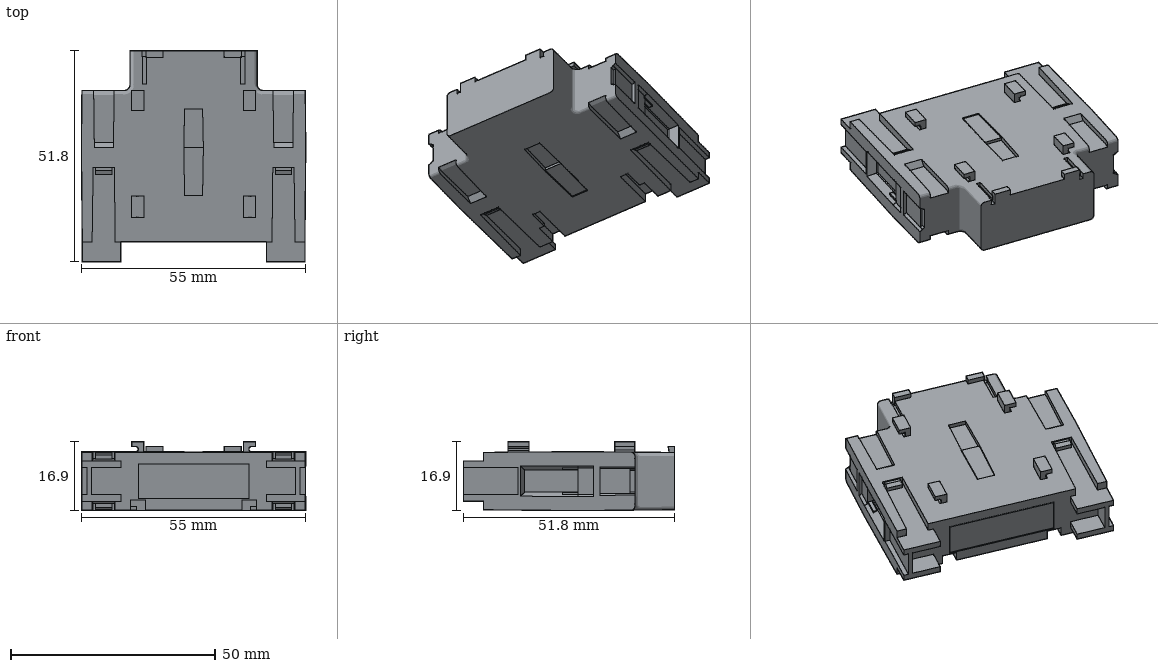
import cadquery as cq
import math

WIDTH = 55.0
HEIGHT = 14.5
FRONT_Y = -23.1
SHOULDER_Y = 14.0
REAR_Y = 23.75
NECK_HALF_WIDTH = 15.6
NECK_CORNER_RADIUS = 1.4
NECK_EDGE_RADIUS = 1.05
DRAFT_DEG = 0.5
DRAFT_SLOPE = math.tan(math.radians(DRAFT_DEG))
HALF_WIDTH = WIDTH / 2
HALF_HEIGHT = HEIGHT / 2
CLEAR = 2.0
RIM_MARGIN = 1.0

ARM_TIP_Y = -28.0
ARM_INNER_X = 17.8
ARM_OUTER_X = HALF_WIDTH + DRAFT_SLOPE * FRONT_Y
ARM_GAP_HALF_HEIGHT = 3.3
ARM_HALF_HEIGHT = 4.95
WEB_INNER_X = 25.0
WEB_OUTER_X = 26.1

HOOK_TIP_X = 15.2
HOOK_POST_OUTER_X = 13.6
HOOK_POST_INNER_X = 12.2
HOOK_RISE = 2.4
HOOK_HEAD_THICKNESS = 1.2
HOOK_HEAD_BOTTOM_Z = HALF_HEIGHT + HOOK_RISE - HOOK_HEAD_THICKNESS
HOOK_CORNER_BEVEL = 0.4
HOOK_FOOT_BEVEL = 0.4
HOOK_FRONT_SPAN = (-17.1, -11.9)
HOOK_REAR_SPAN = (9.05, 14.0)
STOP_SPAN_X = (7.45, 11.7)
STOP_LENGTH = 1.65
STOP_TOP_Z = 8.5
STOP_UNDERCUT = 0.25

GROOVE_SPAN_X = (11.55, 12.55)
GROOVE_START_Y = 15.6
GROOVE_FLOOR_Z = 6.0
NOTCH_SPAN_X = (11.3, 12.65)
NOTCH_LENGTH = 1.4
NOTCH_FLOOR_Z = 5.7

POCKET_REAR_Y = -4.9
POCKET_REAR_FLOOR_Z = 5.5
POCKET_REAR_SPAN_X = (19.4, 24.6)
POCKET_FRONT_SPAN_X = (19.2, 24.85)
CATCH_SPAN_X = (20.0, 24.0)
CATCH_TOP_Z = 6.9
CATCH_NOSE_Z = 6.42
CATCH_TOP_LENGTH = 0.7
CATCH_LENGTH = 1.75

PAD_PARTING_SPAN_X = (19.65, 24.3)
PAD_REAR_SPAN_X = (19.4, 24.5)
PAD_FLOOR_Z = 5.85
PAD_RAMP_LENGTH = 1.25
PAD_LEAD_IN_LENGTH = 1.25
PAD_LEAD_IN_DROP = 0.3

SLOT_REAR_Y = 9.5
SLOT_FRONT_Y = -11.75
SLOT_END_HALF_WIDTH = 2.2
SLOT_PARTING_HALF_WIDTH = 2.4
SLOT_REAR_FLOOR_Z = 6.1
SLOT_FRONT_FLOOR_Z = 6.85

LABEL_WIDTH = 27.1
LABEL_HEIGHT = 8.5
LABEL_DEPTH = 0.3

ENTRY_SPAN_X = (11.8, 15.4)
ENTRY_CEILING_Z = -4.6
LIP_INNER_X = 13.95
LIP_TOP_Z = -6.2

REAR_RECESS_HALF_HEIGHT = 3.5
FRONT_RECESS_HALF_HEIGHT = 3.75
REAR_RECESS_FRONT_Y = 5.5
REAR_RECESS_FLOOR_X = 26.65
REAR_RECESS_FLOOR_HALF_HEIGHT = 3.05
REAR_STEP_Y = 12.8
REAR_STEP_FLOOR_X = 26.1
REAR_STEP_HALF_HEIGHT = 2.65
SHALLOW_RECESS_REAR_Y = 3.9
SHALLOW_RECESS_FLOOR_X = 26.75
SHALLOW_FLOOR_HALF_HEIGHT = 3.25
DEEP_RECESS_FRONT_Y = -14.1
DEEP_RECESS_FLOOR_FRONT_Y = -13.0
DEEP_RECESS_TAPER_END_X = 25.35
DEEP_RECESS_FLOOR_X = 24.9
DEEP_FLOOR_HALF_HEIGHT = 2.7
LEDGE_FRONT_Y = -3.75
LEDGE_OUTER_X = 26.5
LEDGE_HALF_GAP = 2.8
ARM_RECESS_REAR_Y = -14.6


def block(span_x, span_y, span_z):
    """Axis-aligned box between the given limits."""
    size = [max(span) - min(span) for span in (span_x, span_y, span_z)]
    corner = [min(span) for span in (span_x, span_y, span_z)]
    return cq.Workplane("XY").box(*size, centered=False).translate(tuple(corner))


def left_and_right(feature):
    return feature.union(feature.mirror("YZ"))


def top_and_bottom(feature):
    return feature.union(feature.mirror("XY"))


def shaped_prism(plan, profile):
    """Solid having the given X-Y plan and Y-Z side profile."""
    upright = cq.Workplane("XY").polyline(plan).close().extrude(HEIGHT)
    sideways = cq.Workplane("YZ").polyline(profile).close().extrude(WIDTH, both=True)
    return upright.intersect(sideways)


def tapered_recess(mouth_y, mouth_half_height, floor_y, floor_half_height, floor_x):
    """Side recess narrowing from the outer side down to its floor."""
    mouth_size = (mouth_y[1] - mouth_y[0], 2 * mouth_half_height)
    floor_size = (floor_y[1] - floor_y[0], 2 * floor_half_height)
    shift = (sum(mouth_y) - sum(floor_y)) / 2
    return (
        cq.Workplane("YZ", origin=(floor_x, sum(floor_y) / 2, 0))
        .rect(*floor_size)
        .workplane(offset=HALF_WIDTH - floor_x)
        .center(shift, 0)
        .rect(*mouth_size)
        .loft(ruled=True)
    )


def make_housing():
    front = cq.Workplane("XZ").rect(WIDTH, HEIGHT).extrude(-FRONT_Y, taper=DRAFT_DEG)
    rear = cq.Workplane("ZX").rect(HEIGHT, WIDTH).extrude(REAR_Y, taper=DRAFT_DEG)
    neck = block((-NECK_HALF_WIDTH, NECK_HALF_WIDTH), (0, REAR_Y), (-HEIGHT, HEIGHT))
    shoulders = block((-WIDTH, WIDTH), (0, SHOULDER_Y), (-HEIGHT, HEIGHT))
    inside_corners = cq.selectors.BoxSelector(
        (-NECK_HALF_WIDTH - RIM_MARGIN, SHOULDER_Y - RIM_MARGIN, -RIM_MARGIN),
        (NECK_HALF_WIDTH + RIM_MARGIN, SHOULDER_Y + RIM_MARGIN, RIM_MARGIN),
    )
    outline = neck.union(shoulders).edges("|Z").edges(inside_corners).fillet(NECK_CORNER_RADIUS)
    rear = rear.intersect(outline)
    rim_inner_x = NECK_HALF_WIDTH - RIM_MARGIN
    rim_outer_x = HALF_WIDTH - RIM_MARGIN
    rim_low_z = HALF_HEIGHT - RIM_MARGIN
    rim_high_z = HALF_HEIGHT + RIM_MARGIN
    for side in (-1, 1):
        for face in (-1, 1):
            rim = cq.selectors.BoxSelector(
                (side * rim_inner_x, SHOULDER_Y - RIM_MARGIN, face * rim_low_z),
                (side * rim_outer_x, REAR_Y - RIM_MARGIN, face * rim_high_z),
            )
            rear = rear.edges(rim).fillet(NECK_EDGE_RADIUS)
    return front.union(rear)


def make_arms():
    span_y = (ARM_TIP_Y, FRONT_Y)
    plate = block((ARM_INNER_X, ARM_OUTER_X), span_y, (ARM_GAP_HALF_HEIGHT, ARM_HALF_HEIGHT))
    web = block((WEB_INNER_X, WEB_OUTER_X), span_y, (-ARM_HALF_HEIGHT, ARM_HALF_HEIGHT))
    return left_and_right(top_and_bottom(plate).union(web))


def make_hook(near_y, far_y, corner):
    """One +X hook; corner is the stretch of its outline where the head meets the post."""
    top = HALF_HEIGHT + HOOK_RISE
    foot = HALF_HEIGHT - DRAFT_SLOPE * abs(near_y)
    root = HALF_HEIGHT - CLEAR / 2
    section = [
        (HOOK_POST_INNER_X, root),
        (HOOK_POST_INNER_X, top),
        (HOOK_TIP_X, top),
        (HOOK_TIP_X, HOOK_HEAD_BOTTOM_Z),
        *corner,
        (HOOK_POST_OUTER_X, foot + HOOK_FOOT_BEVEL),
        (HOOK_POST_OUTER_X + HOOK_FOOT_BEVEL, foot),
        (HOOK_POST_OUTER_X + HOOK_FOOT_BEVEL, root),
    ]
    plane = cq.Workplane("XZ", origin=(0, far_y, 0))
    return plane.polyline(section).close().extrude(far_y - near_y)


def make_hooks():
    bevelled_corner = [
        (HOOK_POST_OUTER_X + HOOK_CORNER_BEVEL, HOOK_HEAD_BOTTOM_Z),
        (HOOK_POST_OUTER_X, HOOK_HEAD_BOTTOM_Z - HOOK_CORNER_BEVEL),
    ]
    sharp_corner = [(HOOK_POST_OUTER_X, HOOK_HEAD_BOTTOM_Z)]
    front = make_hook(*HOOK_FRONT_SPAN, bevelled_corner)
    rear = make_hook(*HOOK_REAR_SPAN, sharp_corner)
    return left_and_right(front.union(rear))


def make_stops():
    front_y = REAR_Y - STOP_LENGTH
    foot_z = HALF_HEIGHT - DRAFT_SLOPE * REAR_Y
    profile = [
        (REAR_Y, NOTCH_FLOOR_Z),
        (REAR_Y, STOP_TOP_Z),
        (front_y, STOP_TOP_Z),
        (front_y + STOP_UNDERCUT, foot_z),
        (front_y + STOP_UNDERCUT, NOTCH_FLOOR_Z),
    ]
    inner_x, outer_x = STOP_SPAN_X
    plane = cq.Workplane("YZ", origin=(inner_x, 0, 0))
    return left_and_right(plane.polyline(profile).close().extrude(outer_x - inner_x))


def make_grooves():
    groove = block(GROOVE_SPAN_X, (GROOVE_START_Y, REAR_Y), (GROOVE_FLOOR_Z, HEIGHT))
    notch = block(NOTCH_SPAN_X, (REAR_Y - NOTCH_LENGTH, REAR_Y), (NOTCH_FLOOR_Z, HEIGHT))
    return left_and_right(groove.union(notch))


def make_front_pockets():
    end_y = ARM_TIP_Y - CLEAR
    plan = [
        (POCKET_REAR_SPAN_X[0], POCKET_REAR_Y),
        (POCKET_REAR_SPAN_X[1], POCKET_REAR_Y),
        (POCKET_FRONT_SPAN_X[1], FRONT_Y),
        (POCKET_FRONT_SPAN_X[1], end_y),
        (POCKET_FRONT_SPAN_X[0], end_y),
        (POCKET_FRONT_SPAN_X[0], FRONT_Y),
    ]
    profile = [
        (POCKET_REAR_Y, HEIGHT),
        (POCKET_REAR_Y, POCKET_REAR_FLOOR_Z),
        (FRONT_Y, ARM_HALF_HEIGHT),
        (end_y, ARM_HALF_HEIGHT),
        (end_y, HEIGHT),
    ]
    catch_profile = [
        (POCKET_REAR_Y, ARM_HALF_HEIGHT),
        (POCKET_REAR_Y, CATCH_TOP_Z),
        (POCKET_REAR_Y - CATCH_TOP_LENGTH, CATCH_TOP_Z),
        (POCKET_REAR_Y - CATCH_LENGTH, CATCH_NOSE_Z),
        (POCKET_REAR_Y - CATCH_LENGTH, ARM_HALF_HEIGHT),
    ]
    catch_width = CATCH_SPAN_X[1] - CATCH_SPAN_X[0]
    catch_plane = cq.Workplane("YZ", origin=(CATCH_SPAN_X[0], 0, 0))
    catch = catch_plane.polyline(catch_profile).close().extrude(catch_width)
    return top_and_bottom(left_and_right(shaped_prism(plan, profile).cut(catch)))


def make_rear_pads():
    end_y = SHOULDER_Y + CLEAR
    plan = [
        (PAD_PARTING_SPAN_X[0], 0),
        (PAD_PARTING_SPAN_X[1], 0),
        (PAD_REAR_SPAN_X[1], end_y),
        (PAD_REAR_SPAN_X[0], end_y),
    ]
    profile = [
        (0, HALF_HEIGHT),
        (PAD_RAMP_LENGTH, PAD_FLOOR_Z),
        (SHOULDER_Y - PAD_LEAD_IN_LENGTH, PAD_FLOOR_Z),
        (SHOULDER_Y, PAD_FLOOR_Z - PAD_LEAD_IN_DROP),
        (end_y, PAD_FLOOR_Z - PAD_LEAD_IN_DROP),
        (end_y, HEIGHT),
        (0, HEIGHT),
    ]
    return top_and_bottom(left_and_right(shaped_prism(plan, profile)))


def make_central_slots():
    plan = [
        (SLOT_END_HALF_WIDTH, SLOT_REAR_Y),
        (SLOT_PARTING_HALF_WIDTH, 0),
        (SLOT_END_HALF_WIDTH, SLOT_FRONT_Y),
        (-SLOT_END_HALF_WIDTH, SLOT_FRONT_Y),
        (-SLOT_PARTING_HALF_WIDTH, 0),
        (-SLOT_END_HALF_WIDTH, SLOT_REAR_Y),
    ]
    profile = [
        (SLOT_REAR_Y, HEIGHT),
        (SLOT_REAR_Y, SLOT_REAR_FLOOR_Z),
        (0, SLOT_REAR_FLOOR_Z),
        (0, SLOT_FRONT_FLOOR_Z),
        (SLOT_FRONT_Y, SLOT_FRONT_FLOOR_Z),
        (SLOT_FRONT_Y, HEIGHT),
    ]
    return top_and_bottom(shaped_prism(plan, profile))


def make_label_window():
    return cq.Workplane("XY").box(LABEL_WIDTH, 2 * LABEL_DEPTH, LABEL_HEIGHT).translate((0, FRONT_Y, 0))


def make_hook_entries():
    lip_rear_y = max(HOOK_FRONT_SPAN)
    lip_front_y = min(HOOK_FRONT_SPAN)
    slot = block(ENTRY_SPAN_X, (FRONT_Y - CLEAR, lip_rear_y), (-HEIGHT, ENTRY_CEILING_Z))
    lip = block((LIP_INNER_X, ENTRY_SPAN_X[1]), (lip_front_y, lip_rear_y), (-HEIGHT, LIP_TOP_Z))
    return left_and_right(slot.cut(lip))


def make_side_recesses():
    rear_y = (REAR_RECESS_FRONT_Y, SHOULDER_Y)
    rear = tapered_recess(
        rear_y, REAR_RECESS_HALF_HEIGHT, rear_y, REAR_RECESS_FLOOR_HALF_HEIGHT, REAR_RECESS_FLOOR_X
    )
    step_y = (REAR_STEP_Y, SHOULDER_Y)
    step = tapered_recess(
        step_y, REAR_RECESS_HALF_HEIGHT, step_y, REAR_STEP_HALF_HEIGHT, REAR_STEP_FLOOR_X
    )
    shallow_y = (0, SHALLOW_RECESS_REAR_Y)
    shallow = tapered_recess(
        shallow_y, FRONT_RECESS_HALF_HEIGHT, shallow_y, SHALLOW_FLOOR_HALF_HEIGHT, SHALLOW_RECESS_FLOOR_X
    )
    deep = tapered_recess(
        (DEEP_RECESS_FRONT_Y, 0),
        FRONT_RECESS_HALF_HEIGHT,
        (DEEP_RECESS_FLOOR_FRONT_Y, 0),
        DEEP_FLOOR_HALF_HEIGHT,
        DEEP_RECESS_TAPER_END_X,
    )
    straight = block(
        (DEEP_RECESS_FLOOR_X, LEDGE_OUTER_X),
        (DEEP_RECESS_FLOOR_FRONT_Y, 0),
        (-DEEP_FLOOR_HALF_HEIGHT, DEEP_FLOOR_HALF_HEIGHT),
    )
    ledge_span_z = (LEDGE_HALF_GAP, FRONT_RECESS_HALF_HEIGHT)
    ledge = block((DEEP_RECESS_FLOOR_X, LEDGE_OUTER_X), (LEDGE_FRONT_Y, 0), ledge_span_z)
    deep = deep.union(straight).cut(top_and_bottom(ledge))
    arm = block(
        (WEB_OUTER_X, WIDTH),
        (ARM_TIP_Y - CLEAR, ARM_RECESS_REAR_Y),
        (-ARM_GAP_HALF_HEIGHT, ARM_GAP_HALF_HEIGHT),
    )
    return left_and_right(rear.union(step).union(shallow).union(deep).union(arm))


result = make_housing().union(make_arms())
result = result.cut(make_front_pockets())
result = result.cut(make_rear_pads())
result = result.cut(make_central_slots())
result = result.cut(make_label_window())
result = result.cut(make_hook_entries())
result = result.cut(make_side_recesses())
result = result.cut(make_grooves())
result = result.union(make_hooks()).union(make_stops())